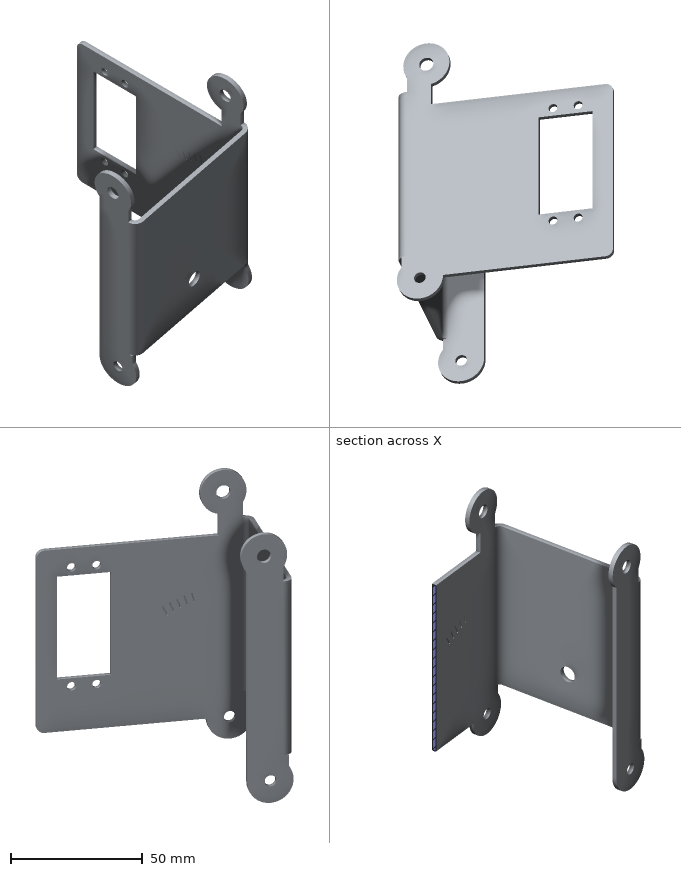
import cadquery as cq


sheet = 2.0
bend_inner = 2.0
bend_outer = bend_inner + sheet
length = 84.37
width = 69.0

web_bottom = 10.0
web_height = 71.0
web_hole_dia = 6.6
web_hole_height = 16.0
web_hole_z = web_bottom + web_hole_height

lug_radius = 9.0
lower_lug_x = -9.1
lower_lug_z = 0.0
lower_hole_dia = 4.5
upper_lug_x = -11.6
upper_lug_z = 92.0
upper_hole_dia = 5.5
arm_left = lower_lug_x - lug_radius
arm_right = -bend_outer
lower_arm_right = -sheet

plate_left = -length
plate_top = 74.5
plate_corner_radius = 3.0

window_margin = 18.5
window_x = plate_left + window_margin
window_width = 21.0
window_height = 42.0
window_z = 42.4
screw_dia = 3.4
screw_pitch_x = 9.8
screw_pitch_z = 48.6

back_neck_left = -13.5

tick_count = 5
tick_first_angle = 16.0
tick_step_angle = 3.25
tick_mid_radius = 52.0
tick_length = 4.0
tick_width = 0.5
tick_depth = 0.5


def block(x_range, z_range, thickness):
    """Rectangular plate from Y = 0 to Y = thickness."""
    (x_min, x_max), (z_min, z_max) = x_range, z_range
    size = (x_max - x_min, thickness, z_max - z_min)
    return cq.Workplane("XY").box(*size, centered=False).translate((x_min, 0, z_min))


def cylinder_y(x, z, radius, thickness):
    """Cylinder along Y from Y = 0 to Y = thickness."""
    return cq.Workplane("XZ").center(x, z).circle(radius).extrude(-thickness)


def make_channel():
    """Web with its hole and the two bends that lead to the flanges."""
    outer_y = width / 2
    inner_y = outer_y - sheet
    profile = (
        cq.Workplane("XY")
        .moveTo(-bend_outer, -outer_y)
        .radiusArc((0, bend_outer - outer_y), -bend_outer)
        .lineTo(0, outer_y - bend_outer)
        .radiusArc((-bend_outer, outer_y), -bend_outer)
        .lineTo(-bend_outer, inner_y)
        .radiusArc((-sheet, outer_y - bend_outer), bend_inner)
        .lineTo(-sheet, bend_outer - outer_y)
        .radiusArc((-bend_outer, -inner_y), bend_inner)
        .close()
    )
    channel = profile.extrude(web_height).translate((0, 0, web_bottom))
    hole = cq.Workplane("YZ").center(0, web_hole_z).circle(web_hole_dia / 2)
    return channel.cut(hole.extrude(-sheet))


def make_arm(neck_left):
    """Flat arm with a lug at each end; above the servo plate it starts at neck_left."""
    arm = block((arm_left, arm_right), (lower_lug_z, plate_top), sheet)
    neck = block((neck_left, arm_right), (plate_top, upper_lug_z), sheet)
    lower_arm = block((arm_left, lower_arm_right), (lower_lug_z, web_bottom), sheet)
    lower_lug = cylinder_y(lower_lug_x, lower_lug_z, lug_radius, sheet)
    upper_lug = cylinder_y(upper_lug_x, upper_lug_z, lug_radius, sheet)
    arm = arm.union(neck).union(lower_arm).union(lower_lug).union(upper_lug)
    arm = arm.cut(cylinder_y(lower_lug_x, lower_lug_z, lower_hole_dia / 2, sheet))
    return arm.cut(cylinder_y(upper_lug_x, upper_lug_z, upper_hole_dia / 2, sheet))


def make_servo_plate():
    """Plate with the servo window, from Y = 0 to Y = sheet."""
    plate = block((plate_left, arm_left), (lower_lug_z, plate_top), sheet)
    plate = plate.edges("|Y and <X").fillet(plate_corner_radius)
    window_x_range = (window_x - window_width / 2, window_x + window_width / 2)
    window_z_range = (window_z - window_height / 2, window_z + window_height / 2)
    plate = plate.cut(block(window_x_range, window_z_range, sheet))
    for x_side in (-1, 1):
        for z_side in (-1, 1):
            x = window_x + x_side * screw_pitch_x / 2
            z = window_z + z_side * screw_pitch_z / 2
            plate = plate.cut(cylinder_y(x, z, screw_dia / 2, sheet))
    return plate


def cut_tick_marks(flange):
    """Engrave the tick marks into the inner face, at Y = 0."""
    tick_inner = lower_lug_z + tick_mid_radius - tick_length / 2
    tick_x_range = (lower_lug_x - tick_width / 2, lower_lug_x + tick_width / 2)
    tick = block(tick_x_range, (tick_inner, tick_inner + tick_length), tick_depth)
    axis_start = (lower_lug_x, 0, lower_lug_z)
    axis_end = (lower_lug_x, -1, lower_lug_z)
    for index in range(tick_count):
        angle = tick_first_angle + index * tick_step_angle
        flange = flange.cut(tick.rotate(axis_start, axis_end, angle))
    return flange


front_arm = make_arm(arm_left).translate((0, -width / 2, 0))
back_flange = make_arm(back_neck_left).union(make_servo_plate())
back_flange = cut_tick_marks(back_flange).translate((0, width / 2 - sheet, 0))
result = make_channel().union(front_arm).union(back_flange)